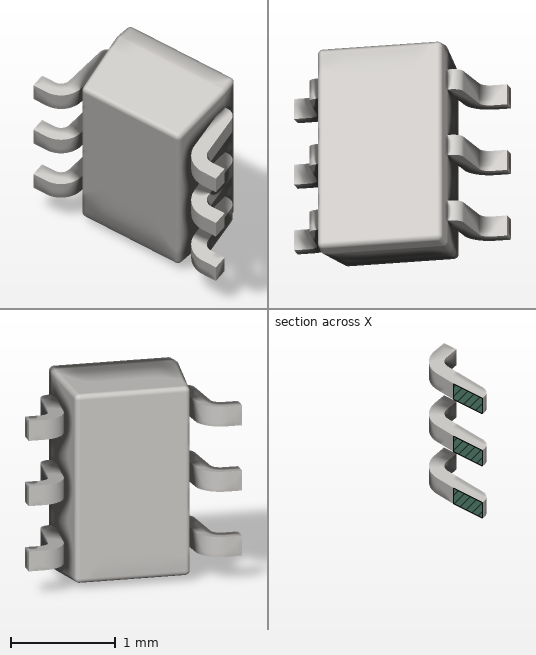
import cadquery as cq
import math


body_width = 1.252
body_length = 2.0
body_depth = 0.899
back_depth = 0.2
belt_depth = 0.008
draft_angle = 5.0
edge_radius = 0.05

span = 2.1
foot_plane = -0.79
lead_width = 0.2
lead_thickness = 0.15
lead_pitch = 0.65
leads_per_side = 3
foot_length = 0.151
bend_radius = 0.1
lead_embed = 0.105

ankle_outer_radius = bend_radius + lead_thickness
lean_sin = math.sin(math.radians(draft_angle))
lean_cos = math.cos(math.radians(draft_angle))
lean_tan = lean_sin / lean_cos


def body_section(y, depth, taper):
    """Extrude the widest body section from Y = y; a positive depth runs toward -Y."""
    plane = cq.Workplane("XZ", origin=(0, y, 0))
    return plane.rect(body_width, body_length).extrude(depth, taper=taper)


def rounded_half(y, depth, base_selector):
    """Drafted half of the body with every edge rounded except the rim on the belt."""
    half = body_section(y, depth, draft_angle)
    rim = half.faces(base_selector).edges().vals()
    free_edges = [e for e in half.edges().vals() if not any(e.isSame(r) for r in rim)]
    return half.newObject(free_edges).fillet(edge_radius)


def make_body():
    front_half = rounded_half(0, body_depth - back_depth, ">Y")
    back_half = rounded_half(belt_depth, belt_depth - back_depth, "<Y")
    belt = body_section(0, -belt_depth, 0)
    belt = belt.edges("|Y").fillet(edge_radius)
    return front_half.union(belt).union(back_half)


def make_lead(z):
    """Gull-wing lead on the -X side, centred at height z."""
    toe_x = -span / 2
    ankle_x = toe_x + foot_length
    ankle_y = foot_plane + ankle_outer_radius

    inner_ankle = (ankle_x + bend_radius * lean_cos, ankle_y - bend_radius * lean_sin)
    outer_ankle = (
        ankle_x + ankle_outer_radius * lean_cos,
        ankle_y - ankle_outer_radius * lean_sin,
    )
    shoulder_y = -bend_radius + bend_radius * lean_sin
    shoulder_x = inner_ankle[0] + (shoulder_y - inner_ankle[1]) * lean_tan
    shoulder_top_x = shoulder_x + bend_radius * lean_cos

    armpit_y = -lead_thickness
    armpit_x = outer_ankle[0] + (armpit_y - outer_ankle[1]) * lean_tan
    root_x = -body_width / 2 + lead_embed

    profile = (
        cq.Workplane("XY", origin=(0, 0, z - lead_width / 2))
        .moveTo(toe_x, foot_plane)
        .lineTo(ankle_x, foot_plane)
        .tangentArcPoint(outer_ankle, relative=False)
        .lineTo(armpit_x, armpit_y)
        .lineTo(root_x, armpit_y)
        .lineTo(root_x, 0)
        .lineTo(shoulder_top_x, 0)
        .tangentArcPoint((shoulder_x, shoulder_y), relative=False)
        .lineTo(*inner_ankle)
        .tangentArcPoint((ankle_x, foot_plane + lead_thickness), relative=False)
        .lineTo(toe_x, foot_plane + lead_thickness)
        .close()
    )
    return profile.extrude(lead_width)


result = make_body()
for row in range(leads_per_side):
    lead = make_lead((row - (leads_per_side - 1) / 2) * lead_pitch)
    result = result.union(lead).union(lead.mirror("YZ"))